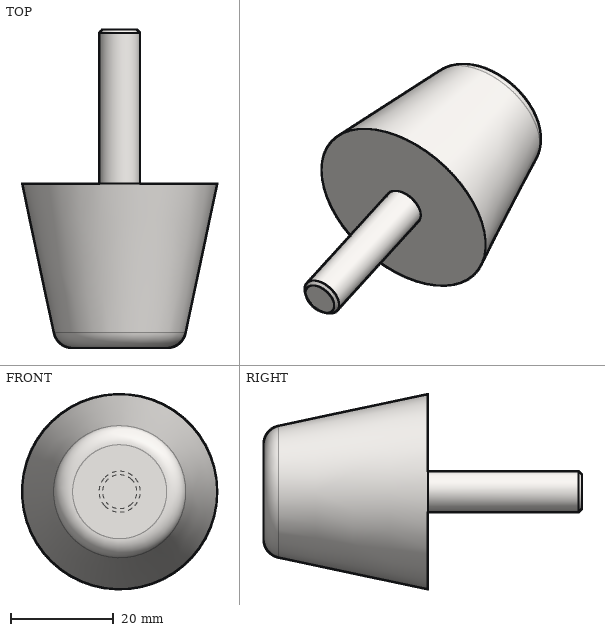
import cadquery as cq

total_length = 62.0
buffer_length = 32.0
stud_length = total_length - buffer_length

base_diameter = 38.0
nose_diameter = 24.4
nose_radius = 3.8

stud_diameter = 8.0
tip_chamfer = 0.7


def make_buffer():
    """Cone narrowing toward -Y, with a rounded nose edge."""
    profile = (
        cq.Workplane("XY")
        .polyline([
            (0, 0),
            (base_diameter / 2, 0),
            (nose_diameter / 2, -buffer_length),
            (0, -buffer_length),
        ])
        .close()
    )
    cone = profile.revolve(360, (0, 0, 0), (0, 1, 0))
    return cone.faces("<Y").edges().fillet(nose_radius)


def make_stud():
    """Round stud standing on the buffer base, pointing toward +Y."""
    cylinder = cq.Workplane("XZ").circle(stud_diameter / 2).extrude(-stud_length)
    return cylinder.faces(">Y").edges().chamfer(tip_chamfer)


buffer = make_buffer()
stud = make_stud()

result = cq.Compound.makeCompound([buffer.val(), stud.val()])